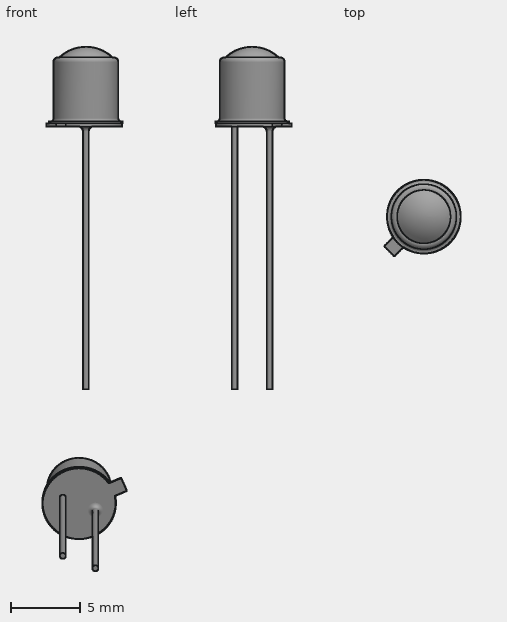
import cadquery as cq
import math

total_height = 24.82
can_height = 5.78

base_radius = 2.63
base_thickness = 0.22
flange_radius = 2.68
flange_top = 0.37

can_radius = 2.35
foot_fillet = 0.22
shoulder_radius = 0.35
shoulder_top = 5.01

lens_radius = 1.94

tab_angle = 225
tab_reach = 3.55
tab_width = 1.05

lead_radius = 0.22
lead_offset = 1.27
lead_length = total_height - can_height

seal_radius = 0.55
seal_height = 0.37

diagonal = math.sqrt(0.5)


def make_can():
    """Base, flange, can and lens as one revolved profile."""
    foot_center = (can_radius + foot_fillet, flange_top + foot_fillet)
    foot_middle = (foot_center[0] - foot_fillet * diagonal, foot_center[1] - foot_fillet * diagonal)
    shoulder_start = shoulder_top - shoulder_radius
    shoulder_center = can_radius - shoulder_radius
    shoulder_middle = (
        shoulder_center + shoulder_radius * diagonal,
        shoulder_start + shoulder_radius * diagonal,
    )
    roll_over = shoulder_center - lens_radius
    lens_seat = shoulder_start + math.sqrt(shoulder_radius**2 - roll_over**2)
    lens_rise = can_height - lens_seat
    sphere_radius = (lens_radius**2 + lens_rise**2) / (2 * lens_rise)
    half_chord = lens_radius / 2
    lens_middle_z = can_height - sphere_radius + math.sqrt(sphere_radius**2 - half_chord**2)

    profile = (
        cq.Workplane("XZ")
        .lineTo(base_radius, 0)
        .lineTo(base_radius, base_thickness)
        .lineTo(flange_radius, base_thickness)
        .lineTo(flange_radius, flange_top)
        .lineTo(foot_center[0], flange_top)
        .threePointArc(foot_middle, (can_radius, foot_center[1]))
        .lineTo(can_radius, shoulder_start)
        .threePointArc(shoulder_middle, (lens_radius, lens_seat))
        .threePointArc((half_chord, lens_middle_z), (0, can_height))
        .close()
    )
    return profile.revolve(360, (0, 0, 0), (0, 1, 0))


def make_tab():
    """Flat tab running from the can axis out past the base."""
    tab = cq.Workplane("XY").box(tab_reach, tab_width, base_thickness, centered=(False, True, False))
    return tab.rotate((0, 0, 0), (0, 0, 1), tab_angle)


def make_lead(y):
    """Straight round lead, rooted inside the base."""
    lead = cq.Workplane("XY").workplane(offset=-lead_length).center(0, y).circle(lead_radius)
    return lead.extrude(lead_length + base_thickness)


def make_seal(y):
    """Flared ring under the base that narrows down to the lead."""
    flare = seal_radius - lead_radius
    arc_middle = (seal_radius - flare * diagonal, -seal_height * (1 - diagonal))
    profile = (
        cq.Workplane("XZ")
        .moveTo(0, base_thickness)
        .lineTo(seal_radius, base_thickness)
        .lineTo(seal_radius, 0)
        .threePointArc(arc_middle, (lead_radius, -seal_height))
        .lineTo(0, -seal_height)
        .close()
    )
    return profile.revolve(360, (0, 0, 0), (0, 1, 0)).translate((0, y, 0))


result = make_can().union(make_tab()).union(make_seal(-lead_offset))
for lead_y in (-lead_offset, lead_offset):
    result = result.union(make_lead(lead_y))